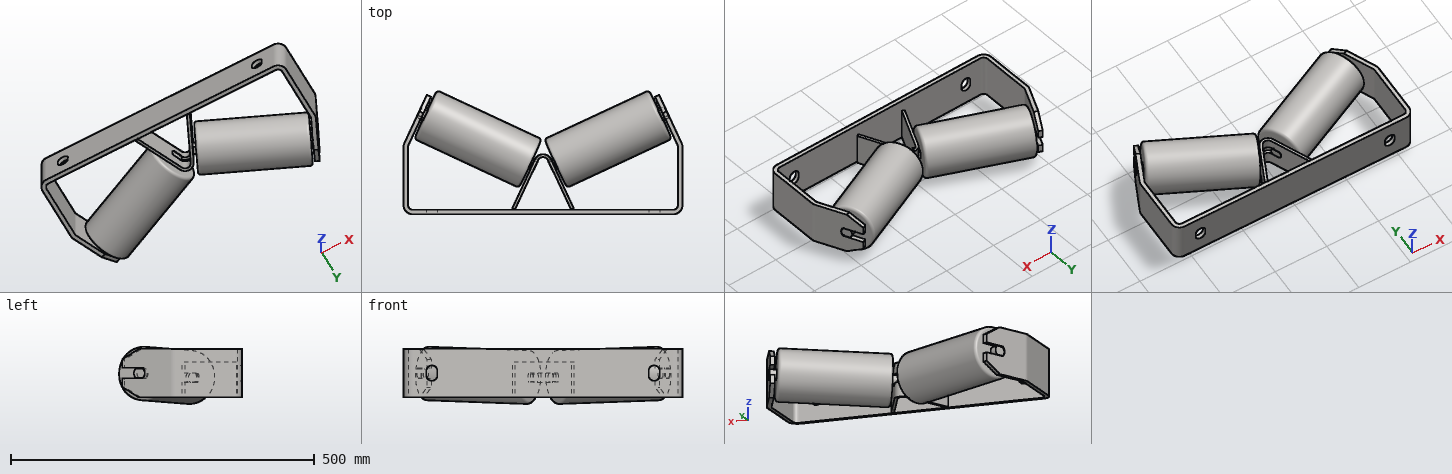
import cadquery as cq
import math

frame_width = 460.0
bar_height = 80.0
frame_thickness = 8.0
bend_inner_radius = 8.0
bend_outer_radius = bend_inner_radius + frame_thickness
wall_bend_start = 111.0
lean_angle = 25.0
ear_length = 88.0
ear_chamfer_length = 30.0
ear_chamfer_height = 17.0
ear_slot_width = 17.0
ear_slot_clearance = 0.5
mount_slot_width = 18.5
mount_slot_height = 25.5
mount_slot_x = 183.0

roller_diameter = 89.0
roller_length = 190.0
roller_fillet = 5.0
roller_x = 107.0
roller_y = 124.0
roller_z = -3.5
roller_tilt = 1.9
shaft_diameter = 20.0
shaft_flat_width = 15.0
shaft_outer_reach = 106.5
shaft_inner_reach = 105.0

bracket_thickness = 5.0
bracket_outer_radius = 14.3
bracket_apex_y = 99.5
bracket_height = 59.0

lean_sin = math.sin(math.radians(lean_angle))
lean_cos = math.cos(math.radians(lean_angle))


def mirrored_in_x(shape):
    """Mirror image on the other side of the YZ plane."""
    return shape.mirror("YZ")


def side_bar_profile():
    """Left half of the frame outline in the XY plane, from the middle to the ear tip."""
    left = -frame_width / 2
    corner_x = left + bend_outer_radius
    inner_left = left + frame_thickness
    diagonal = math.cos(math.radians(45))
    half_sin = math.sin(math.radians(lean_angle / 2))
    half_cos = math.cos(math.radians(lean_angle / 2))

    def corner_point(radius):
        return (corner_x - radius * diagonal, bend_outer_radius - radius * diagonal)

    def lean_mid(radius):
        return (corner_x - radius * half_cos, wall_bend_start + radius * half_sin)

    def lean_end(radius):
        return (corner_x - radius * lean_cos, wall_bend_start + radius * lean_sin)

    def ear_end(radius):
        end_x, end_y = lean_end(radius)
        return (end_x + ear_length * lean_sin, end_y + ear_length * lean_cos)

    return (
        cq.Workplane("XY", origin=(0, 0, -bar_height / 2))
        .moveTo(0, 0)
        .lineTo(corner_x, 0)
        .threePointArc(corner_point(bend_outer_radius), (left, bend_outer_radius))
        .lineTo(left, wall_bend_start)
        .threePointArc(lean_mid(bend_outer_radius), lean_end(bend_outer_radius))
        .lineTo(*ear_end(bend_outer_radius))
        .lineTo(*ear_end(bend_inner_radius))
        .lineTo(*lean_end(bend_inner_radius))
        .threePointArc(lean_mid(bend_inner_radius), (inner_left, wall_bend_start))
        .lineTo(inner_left, bend_outer_radius)
        .threePointArc(corner_point(bend_inner_radius), (corner_x, frame_thickness))
        .lineTo(0, frame_thickness)
        .close()
    )


def ear_cutter():
    """Chamfer corners and open shaft slot of the left ear, cut square through the ear."""
    corner_x = -frame_width / 2 + bend_outer_radius
    tip_x = corner_x - bend_outer_radius * lean_cos + ear_length * lean_sin
    tip_y = wall_bend_start + bend_outer_radius * lean_sin + ear_length * lean_cos
    ear_plane = cq.Plane(
        origin=(tip_x, tip_y, 0),
        xDir=(lean_sin, lean_cos, 0),
        normal=(lean_cos, -lean_sin, 0),
    )
    half_height = bar_height / 2
    cutter = cq.Workplane(ear_plane)
    for side in (1, -1):
        corner = (
            cq.Workplane(ear_plane)
            .polyline([
                (-ear_chamfer_length, side * half_height),
                (0, side * (half_height - ear_chamfer_height)),
                (0, side * half_height),
            ])
            .close()
            .extrude(2 * frame_thickness, both=True)
        )
        cutter = cutter.add(corner)
    half_slot = ear_slot_width / 2
    slot_radius = shaft_diameter / 2 + ear_slot_clearance
    round_depth = slot_radius - math.sqrt(slot_radius**2 - half_slot**2)
    shaft_depth = (tip_x + roller_x) * lean_sin + (tip_y - roller_y) * lean_cos
    slot_depth = shaft_depth + slot_radius
    slot = (
        cq.Workplane(ear_plane)
        .moveTo(0, half_slot)
        .lineTo(round_depth - slot_depth, half_slot)
        .threePointArc((-slot_depth, 0), (round_depth - slot_depth, -half_slot))
        .lineTo(0, -half_slot)
        .close()
        .extrude(2 * frame_thickness, both=True)
    )
    return cutter.add(slot).combine()


def make_frame():
    half = side_bar_profile().extrude(bar_height).cut(ear_cutter())
    frame = half.union(mirrored_in_x(half))
    mount_slots = (
        cq.Workplane("XZ")
        .pushPoints([(-mount_slot_x, 0), (mount_slot_x, 0)])
        .slot2D(mount_slot_height, mount_slot_width, 90)
        .extrude(-frame_thickness)
    )
    return frame.cut(mount_slots)


def place_left(shape):
    """Move a shape built along X, with the roller middle at the origin, to the left roller."""
    return (
        shape.rotate((0, 0, 0), (0, 1, 0), roller_tilt)
        .rotate((0, 0, 0), (0, 0, 1), -lean_angle)
        .translate((-roller_x, roller_y, roller_z))
    )


def make_left_roller():
    """Roller drum with its shaft, which has two flats to fit the slots."""
    drum = (
        cq.Workplane("YZ", origin=(-roller_length / 2, 0, 0))
        .circle(roller_diameter / 2)
        .extrude(roller_length)
        .edges()
        .fillet(roller_fillet)
    )
    shaft_length = shaft_outer_reach + shaft_inner_reach
    shaft_start = cq.Workplane("YZ", origin=(-shaft_outer_reach, 0, 0))
    flats = shaft_start.rect(shaft_diameter, shaft_flat_width).extrude(shaft_length)
    shaft = shaft_start.circle(shaft_diameter / 2).extrude(shaft_length).intersect(flats)
    return place_left(drum.union(shaft))


def make_left_slot():
    """Slot from the shaft of the left roller up along the bracket leg and out through the apex."""
    reach = roller_x / lean_cos
    slot = (
        cq.Workplane("XY", origin=(roller_length / 2, 0, 0))
        .box(reach - roller_length / 2, bracket_apex_y, shaft_flat_width, centered=(False, False, True))
    )
    return place_left(slot)


def make_left_leg():
    """Left half of the inverted V, standing on the inside of the frame's back."""
    inner_radius = bracket_outer_radius - bracket_thickness
    centre_y = bracket_apex_y - bracket_outer_radius
    leg_length = (centre_y + inner_radius * lean_sin - frame_thickness) / lean_cos
    mid_angle = math.radians((90 + lean_angle) / 2)

    def bend_mid(radius):
        return (-radius * math.cos(mid_angle), centre_y + radius * math.sin(mid_angle))

    def bend_end(radius):
        return (-radius * lean_cos, centre_y + radius * lean_sin)

    def foot(radius):
        end_x, end_y = bend_end(radius)
        return (end_x - leg_length * lean_sin, end_y - leg_length * lean_cos)

    return (
        cq.Workplane("XY", origin=(0, 0, -bar_height / 2))
        .moveTo(0, bracket_apex_y)
        .threePointArc(bend_mid(bracket_outer_radius), bend_end(bracket_outer_radius))
        .lineTo(*foot(bracket_outer_radius))
        .lineTo(*foot(inner_radius))
        .lineTo(*bend_end(inner_radius))
        .threePointArc(bend_mid(inner_radius), (0, centre_y + inner_radius))
        .close()
        .extrude(bracket_height)
        .cut(make_left_slot())
    )


def make_roller_carrier():
    """Bracket and both rollers, joined where the shafts fill the bracket slots."""
    left_half = make_left_leg().union(make_left_roller())
    return left_half.union(mirrored_in_x(left_half))


frame = make_frame()
roller_carrier = make_roller_carrier()

result = cq.Compound.makeCompound([frame.val(), roller_carrier.val()])